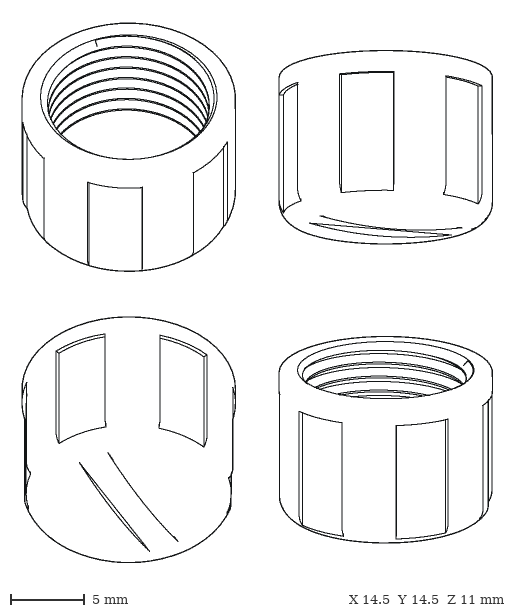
import cadquery as cq
import math

outer_radius = 7.25
cap_height = 11.0
dome_radius = 27.0
dome_fillet = 1.5
rim_fillet = 0.2

recess_count = 6
recess_pitch_angle = 360.0 / recess_count
recess_angle = recess_pitch_angle / 2
recess_floor_radius = 6.96
collar_height = 1.51
recess_top_z = cap_height - collar_height

slot_width = 2.18
slot_roof_z = 0.51

thread_minor_radius = 5.47
thread_root_radius = 5.99
thread_pitch = 1.0
thread_crest_width = thread_pitch / 8
thread_start_depth = 0.06
thread_start_angle = 180.0
thread_turns = 7.4
lead_in_depth = thread_root_radius - thread_minor_radius
bore_depth = 7.0
bore_floor_z = cap_height - bore_depth

seal_thickness = 1.5
seal_radius = 6.02
seat_floor_z = bore_floor_z - seal_thickness

tool_overlap = 0.07


def revolve_about_z(profile, angle=360.0):
    """Turn a closed profile, drawn in the XZ plane, about the Z axis."""
    return profile.revolve(angle, (0, 0, 0), (0, 1, 0))


def make_blank():
    """Solid cap body: a cylinder with a spherical bottom, rounded at the dome and at the rim."""
    fillet_centre_x = outer_radius - dome_fillet
    fillet_centre_z = dome_radius - math.sqrt((dome_radius - dome_fillet) ** 2 - fillet_centre_x**2)
    tangent_x = fillet_centre_x * dome_radius / (dome_radius - dome_fillet)
    tangent_z = dome_radius - math.sqrt(dome_radius**2 - tangent_x**2)
    profile = (
        cq.Workplane("XZ")
        .radiusArc((tangent_x, tangent_z), -dome_radius)
        .tangentArcPoint((outer_radius, fillet_centre_z), relative=False)
        .lineTo(outer_radius, cap_height - rim_fillet)
        .tangentArcPoint((outer_radius - rim_fillet, cap_height), relative=False)
        .lineTo(0, cap_height)
        .close()
    )
    return revolve_about_z(profile)


def make_grip_recess(start_angle):
    """Ring sector to remove from the skirt, running on from the given direction."""
    tool_radius = outer_radius + tool_overlap
    profile = (
        cq.Workplane("XZ")
        .moveTo(recess_floor_radius, 0)
        .lineTo(tool_radius, 0)
        .lineTo(tool_radius, recess_top_z)
        .lineTo(recess_floor_radius, recess_top_z)
        .close()
    )
    return revolve_about_z(profile, recess_angle).rotate((0, 0, 0), (0, 0, 1), start_angle)


def make_slot():
    """Straight coin slot through the dome."""
    return cq.Workplane("XY").box(slot_width, 2 * outer_radius, slot_roof_z, centered=(True, True, False))


def make_bore():
    """Plain bore at the thread minor radius, with its conical lead-in and the seal seat below it."""
    profile = (
        cq.Workplane("XZ")
        .moveTo(0, seat_floor_z)
        .lineTo(seal_radius, seat_floor_z)
        .lineTo(seal_radius, bore_floor_z)
        .lineTo(thread_minor_radius, bore_floor_z)
        .lineTo(thread_minor_radius, cap_height - lead_in_depth)
        .lineTo(thread_root_radius, cap_height)
        .lineTo(0, cap_height)
        .close()
    )
    return revolve_about_z(profile)


def make_thread_groove():
    """Right-hand helical V groove, starting at the mouth and running out into the seal seat."""
    half_width_at_minor = (thread_pitch - thread_crest_width) / 2
    flank_slope = half_width_at_minor / (thread_root_radius - thread_minor_radius)
    inner_radius = thread_minor_radius - tool_overlap
    half_width_inside = (thread_root_radius - inner_radius) * flank_slope

    helix_height = thread_turns * thread_pitch
    bottom_z = cap_height - thread_start_depth - helix_height
    helix = cq.Wire.makeHelix(thread_pitch, helix_height, inner_radius).translate((0, 0, bottom_z))
    groove = (
        cq.Workplane("XZ")
        .moveTo(inner_radius, bottom_z - half_width_inside)
        .lineTo(thread_root_radius, bottom_z)
        .lineTo(inner_radius, bottom_z + half_width_inside)
        .close()
        .sweep(cq.Workplane(obj=helix), isFrenet=True)
    )
    return groove.rotate((0, 0, 0), (0, 0, 1), thread_start_angle - 360 * thread_turns)


def make_cap():
    """Screw cap with grip recesses, coin slot and threaded bore."""
    cap = make_blank()
    for i in range(recess_count):
        cap = cap.cut(make_grip_recess(recess_angle / 2 + i * recess_pitch_angle))
    cap = cap.cut(make_slot())
    cap = cap.cut(make_bore())
    return cap.cut(make_thread_groove())


def make_seal():
    """Flat sealing disc, filling its seat."""
    return cq.Workplane("XY", origin=(0, 0, seat_floor_z)).circle(seal_radius).extrude(seal_thickness)


cap = make_cap()
seal = make_seal()
result = cq.Compound.makeCompound([cap.solids().val(), seal.val()])